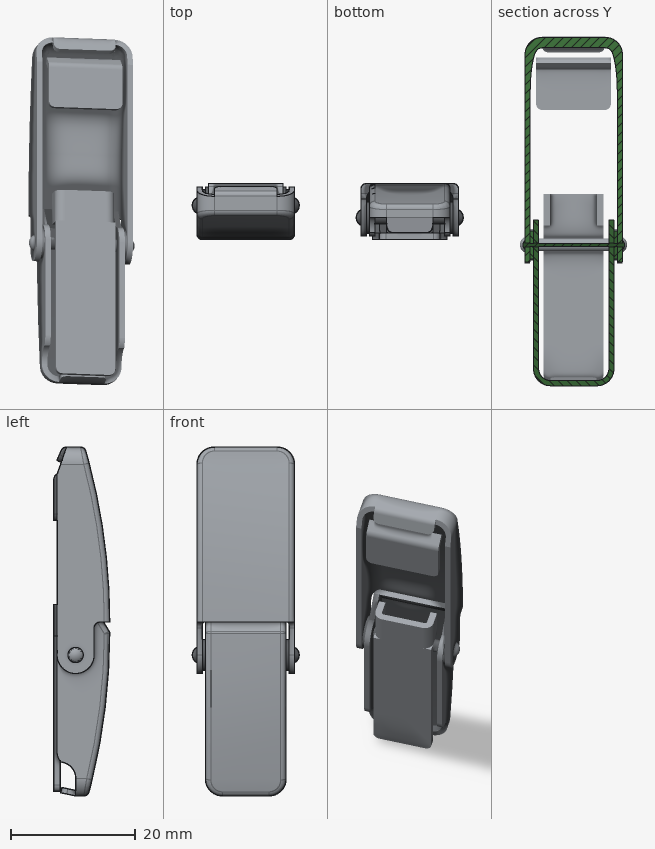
import cadquery as cq
import math


total_height = 56.0
top_z = 33.4
bottom_z = top_z - total_height
back_y = 3.5
depth = 9.0
front_y = back_y - depth

sheet = 0.9
bend_radius = 0.9
inner_bend_radius = 1.7
corner_radius = 2.8
front_radius = 100.0
cover_back_y = 2.95
ear_radius = cover_back_y
opening_margin = 0.55

upper_half_width = 7.85
upper_bottom_z = 5.25
upper_slope_start_z = 29.05
upper_top_back_y = 1.45
upper_tab_half_width = upper_half_width - corner_radius
upper_tab_angle = 24.0
upper_tab_corner_y = 2.1
upper_tab_length = 2.35

lower_half_width = 6.5
lower_front_top_z = 3.65
lip_angle = 31.0
lip_end_z = 6.15
lip_bend_radius = 0.55
notch_start_z = -15.7
notch_shoulder = (2.8, -16.45)
notch_joint = (2.35, -17.2)
notch_end_z = -19.75
lower_tab_half_width = lower_half_width - corner_radius
lower_tab_angle = 12.0
lower_tab_end_y = 2.4
tab_tip_radius = 1.0

shaft_radius = 1.0
head_radius = 1.25
pin_length = 17.2
pin_half_length = pin_length / 2
washer_radius = 2.5

plate_thickness = 1.05
plate_corner_radius = 1.0
upper_plate_half_width = 6.0
upper_plate_bottom_z = 21.6
upper_plate_bend_z = 28.1
upper_plate_bend_angle = 55.0
upper_plate_bend_radius = 1.1
upper_plate_lip_length = 1.8
lower_plate_half_width = 4.8
lower_plate_top_z = 8.1
lower_plate_bottom_z = -21.9
flange_bottom_z = 3.1
flange_depth = 3.5
flange_bend_radius = 1.4


def front_arc_y(z, tangent_z, inset=0.0):
    """Y of the bulged front at height z; the arc runs straight up at tangent_z."""
    radius = front_radius - inset
    return front_y + front_radius - math.sqrt(radius**2 - (z - tangent_z) ** 2)


def extrude_across(profile, half_width):
    """Extrude a closed YZ profile symmetrically along X."""
    return profile.close().extrude(half_width, both=True)


def x_cylinder(radius, x_start, x_end):
    """Cylinder on the pin axis between two X positions."""
    return cq.Workplane("YZ", origin=(x_start, 0, 0)).circle(radius).extrude(x_end - x_start)


def upper_body():
    """Outer solid of the upper cover, with ears rounded about the pin."""
    mid_z = (upper_bottom_z + top_z) / 2
    step_y = -ear_radius
    fillet_mid = bend_radius * (1 - math.sqrt(0.5))
    profile = (
        cq.Workplane("YZ")
        .moveTo(front_y, upper_bottom_z)
        .lineTo(step_y - bend_radius, upper_bottom_z)
        .threePointArc(
            (step_y - fillet_mid, upper_bottom_z - fillet_mid),
            (step_y, upper_bottom_z - bend_radius),
        )
        .lineTo(-ear_radius, 0)
        .threePointArc((0, -ear_radius), (ear_radius, 0))
        .lineTo(cover_back_y, upper_slope_start_z)
        .lineTo(upper_top_back_y, top_z)
        .lineTo(front_arc_y(top_z, upper_bottom_z), top_z)
        .threePointArc((front_arc_y(mid_z, upper_bottom_z), mid_z), (front_y, upper_bottom_z))
    )
    body = extrude_across(profile, upper_half_width)
    body = body.faces(">Z").edges("|Y").fillet(corner_radius)
    front_point = (0, front_arc_y(mid_z, upper_bottom_z), mid_z)
    front = body.faces(cq.selectors.NearestToPointSelector(front_point))
    return front.edges("not <Z").fillet(bend_radius)


def upper_cavity():
    """Space inside the upper cover, open to the back and the bottom."""
    end_z = top_z - sheet
    start_z = -ear_radius - opening_margin
    mid_z = (upper_bottom_z + end_z) / 2
    open_y = back_y + opening_margin
    profile = (
        cq.Workplane("YZ")
        .moveTo(front_y + sheet, start_z)
        .lineTo(open_y, start_z)
        .lineTo(open_y, end_z)
        .lineTo(front_arc_y(end_z, upper_bottom_z, sheet), end_z)
        .threePointArc(
            (front_arc_y(mid_z, upper_bottom_z, sheet), mid_z),
            (front_y + sheet, upper_bottom_z),
        )
    )
    cavity = extrude_across(profile, upper_half_width - sheet)
    cavity = cavity.faces(">Z").edges("|Y").fillet(corner_radius - sheet)
    front_point = (0, front_arc_y(mid_z, upper_bottom_z, sheet), mid_z)
    front = cavity.faces(cq.selectors.NearestToPointSelector(front_point))
    return front.edges("not <Z").fillet(inner_bend_radius)


def upper_tab():
    """Tab bent back and down from the top wall."""
    angle = math.radians(upper_tab_angle)
    along = (math.sin(angle), -math.cos(angle))
    tip = (upper_tab_corner_y + upper_tab_length * along[0], top_z + upper_tab_length * along[1])
    inner_tip = (tip[0] + sheet * along[1], tip[1] - sheet * along[0])
    inner_z = top_z - sheet
    inner_corner_y = inner_tip[0] - (inner_z - inner_tip[1]) * math.tan(angle)
    root_y = upper_top_back_y - sheet
    profile = cq.Workplane("YZ").polyline([
        (root_y, top_z), (upper_tab_corner_y, top_z), tip,
        inner_tip, (inner_corner_y, inner_z), (root_y, inner_z),
    ])
    tab = extrude_across(profile, upper_tab_half_width)
    tab = tab.edges(cq.selectors.NearestToPointSelector((0, upper_tab_corner_y, top_z))).fillet(bend_radius)
    return round_tip(tab, tip, inner_tip)


def round_tip(tab, outer_tip, inner_tip):
    """Round the two corners of a tab whose end runs between the given YZ points."""
    middle_y = (outer_tip[0] + inner_tip[0]) / 2
    middle_z = (outer_tip[1] + inner_tip[1]) / 2
    end = tab.faces(cq.selectors.NearestToPointSelector((0, middle_y, middle_z)))
    return end.edges("not |X").fillet(tab_tip_radius)


def make_upper_cover():
    cover = upper_body().cut(upper_cavity()).union(upper_tab())
    return cover.cut(x_cylinder(shaft_radius, -pin_half_length, pin_half_length))


def lip_y(z, inset=0.0):
    """Y of the leaning lip above the front of the lower cover."""
    angle = math.radians(lip_angle)
    return front_y + (z - lower_front_top_z) * math.tan(angle) + inset / math.cos(angle)


def lower_body():
    """Outer solid of the lower cover, with a leaning lip on top and notched sides below."""
    mid_z = (bottom_z + lower_front_top_z) / 2
    arc_half = ear_radius * math.sqrt(0.5)
    notch_radius = notch_joint[1] - notch_end_z
    notch_mid = notch_radius * (1 - math.sqrt(0.5))
    profile = (
        cq.Workplane("YZ")
        .moveTo(front_y, lower_front_top_z)
        .lineTo(lip_y(lip_end_z), lip_end_z)
        .lineTo(lip_y(lip_end_z, sheet), lip_end_z)
        .lineTo(0, ear_radius)
        .threePointArc((arc_half, arc_half), (ear_radius, 0))
        .lineTo(cover_back_y, notch_start_z)
        .threePointArc(notch_shoulder, notch_joint)
        .threePointArc((notch_mid, notch_end_z + notch_radius - notch_mid), (0, notch_end_z))
        .lineTo(0, bottom_z)
        .lineTo(front_arc_y(bottom_z, lower_front_top_z), bottom_z)
        .threePointArc((front_arc_y(mid_z, lower_front_top_z), mid_z), (front_y, lower_front_top_z))
    )
    body = extrude_across(profile, lower_half_width)
    body = body.faces("<Z").edges("|Y").fillet(corner_radius)
    lip_edge = (0, front_y, lower_front_top_z)
    body = body.edges(cq.selectors.NearestToPointSelector(lip_edge)).fillet(lip_bend_radius)
    front_point = (0, front_arc_y(mid_z, lower_front_top_z), mid_z)
    front = body.faces(cq.selectors.NearestToPointSelector(front_point))
    return front.edges("not >Z").fillet(bend_radius)


def lower_cavity():
    """Space inside the lower cover, open to the back and above the lip."""
    end_z = bottom_z + sheet
    mid_z = (end_z + lower_front_top_z) / 2
    open_y = back_y + opening_margin
    open_z = lip_end_z + opening_margin
    lip_foot = (front_y + sheet, lower_front_top_z - sheet * math.tan(math.radians(lip_angle / 2)))
    profile = (
        cq.Workplane("YZ")
        .moveTo(*lip_foot)
        .lineTo(lip_y(open_z, sheet), open_z)
        .lineTo(open_y, open_z)
        .lineTo(open_y, end_z)
        .lineTo(front_arc_y(end_z, lower_front_top_z, sheet), end_z)
        .threePointArc(
            (front_arc_y(mid_z, lower_front_top_z, sheet), mid_z),
            lip_foot,
        )
    )
    cavity = extrude_across(profile, lower_half_width - sheet)
    return cavity.faces("<Z").edges("|Y").fillet(corner_radius - sheet)


def lower_tab():
    """Tab rising gently backward from the bottom wall."""
    angle = math.radians(lower_tab_angle)
    tip = (lower_tab_end_y, bottom_z + lower_tab_end_y * math.tan(angle))
    inner_tip = (tip[0] - sheet * math.sin(angle), tip[1] + sheet * math.cos(angle))
    inner_z = bottom_z + sheet
    inner_corner_y = -sheet * math.tan(angle / 2)
    profile = cq.Workplane("YZ").polyline([
        (-sheet, bottom_z), (0, bottom_z), tip,
        inner_tip, (inner_corner_y, inner_z), (-sheet, inner_z),
    ])
    return round_tip(extrude_across(profile, lower_tab_half_width), tip, inner_tip)


def make_lower_cover():
    cover = lower_body().cut(lower_cavity()).union(lower_tab())
    return cover.cut(x_cylinder(shaft_radius, -pin_half_length, pin_half_length))


def make_pin():
    """Shaft through both covers with a domed head outside each ear."""
    head_height = pin_half_length - upper_half_width
    dome_radius = (head_radius**2 + head_height**2) / (2 * head_height)
    rise = head_radius / 2
    dome_mid_x = pin_half_length - dome_radius + math.sqrt(dome_radius**2 - rise**2)
    profile = (
        cq.Workplane("XY")
        .moveTo(-pin_half_length, 0)
        .threePointArc((-dome_mid_x, rise), (-upper_half_width, head_radius))
        .lineTo(-upper_half_width, shaft_radius)
        .lineTo(upper_half_width, shaft_radius)
        .lineTo(upper_half_width, head_radius)
        .threePointArc((dome_mid_x, rise), (pin_half_length, 0))
        .close()
    )
    return profile.revolve(360, (0, 0, 0), (1, 0, 0))


def make_washer(side):
    """Spacer between an ear and the lower cover; side is -1 or 1."""
    inner_x = side * lower_half_width
    outer_x = side * (upper_half_width - sheet)
    return x_cylinder(washer_radius, inner_x, outer_x).cut(x_cylinder(shaft_radius, inner_x, outer_x))


def make_upper_plate():
    """Flat plate whose top end bends forward into a hooked lip."""
    angle = math.radians(upper_plate_bend_angle)
    outer_radius = upper_plate_bend_radius
    inner_radius = outer_radius - plate_thickness
    centre_y = back_y - outer_radius

    def bend_point(radius, turn):
        return (centre_y + radius * math.cos(turn), upper_plate_bend_z + radius * math.sin(turn))

    def lip_point(radius):
        start = bend_point(radius, angle)
        return (
            start[0] - upper_plate_lip_length * math.sin(angle),
            start[1] + upper_plate_lip_length * math.cos(angle),
        )

    profile = (
        cq.Workplane("YZ")
        .moveTo(back_y, upper_plate_bottom_z)
        .lineTo(back_y, upper_plate_bend_z)
        .threePointArc(bend_point(outer_radius, angle / 2), bend_point(outer_radius, angle))
        .lineTo(*lip_point(outer_radius))
        .lineTo(*lip_point(inner_radius))
        .lineTo(*bend_point(inner_radius, angle))
        .threePointArc(bend_point(inner_radius, angle / 2), bend_point(inner_radius, 0))
        .lineTo(back_y - plate_thickness, upper_plate_bottom_z)
    )
    plate = extrude_across(profile, upper_plate_half_width)
    return plate.faces("<Z").edges("|Y").fillet(plate_corner_radius)


def make_lower_plate():
    """Flat plate with two side flanges bent forward at its top."""
    width = 2 * lower_plate_half_width
    flange_height = lower_plate_top_z - flange_bottom_z
    strip = cq.Workplane("XY").box(
        width, plate_thickness, flange_bottom_z - lower_plate_bottom_z, centered=(True, False, False)
    ).translate((0, back_y - plate_thickness, lower_plate_bottom_z))
    strip = strip.faces("<Z").edges("|Y").fillet(plate_corner_radius)
    channel = cq.Workplane("XY").box(
        width, flange_depth, flange_height, centered=(True, False, False)
    ).translate((0, back_y - flange_depth, flange_bottom_z))
    channel = channel.faces(">Y").edges("|Z").fillet(flange_bend_radius)
    inside = cq.Workplane("XY").box(
        width - 2 * plate_thickness, flange_depth, flange_height, centered=(True, False, False)
    ).translate((0, back_y - flange_depth - plate_thickness, flange_bottom_z))
    inside = inside.faces(">Y").edges("|Z").fillet(flange_bend_radius - plate_thickness)
    return strip.union(channel.cut(inside))


upper_cover = make_upper_cover()
lower_cover = make_lower_cover()
pin = make_pin()
washers = [make_washer(side) for side in (-1, 1)]
upper_plate = make_upper_plate()
lower_plate = make_lower_plate()

result = cq.Compound.makeCompound([
    upper_cover.val(),
    lower_cover.val(),
    pin.val(),
    *[washer.val() for washer in washers],
    upper_plate.val(),
    lower_plate.val(),
])